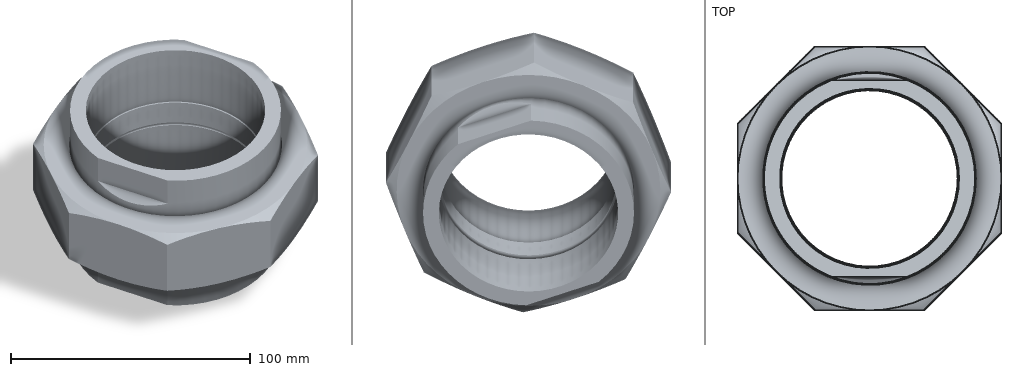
import cadquery as cq
import math

total_height = 70.0
half_height = total_height / 2

nut_flats = 110.0
nut_height = 31.0
nut_clearance_radius = 44.4
nut_sides = 8
nut_chamfer_angle = 30.0

end_radius = 44.0
bore_radius = 37.4
shoulder_radius = 36.7
socket_depth = 28.8
upper_end_bottom = -5.0
joint_gap = 2.1
lower_end_top = upper_end_bottom - joint_gap

wrench_width = 81.8
upper_wrench_height = 13.0
lower_wrench_height = 14.5


def make_nut():
    """Chamfered octagon with a bore that is loose above and seated on the lower end below."""
    inscribed_radius = nut_flats / 2
    corner_radius = inscribed_radius / math.cos(math.pi / nut_sides)
    corner_drop = (corner_radius - inscribed_radius) * math.tan(math.radians(nut_chamfer_angle))
    half_nut = nut_height / 2
    octagon = (
        cq.Workplane("XY", origin=(0, 0, -half_nut))
        .polygon(nut_sides, 2 * corner_radius)
        .extrude(nut_height)
        .rotate((0, 0, 0), (0, 0, 1), 180 / nut_sides)
    )
    envelope = (
        cq.Workplane("XZ")
        .moveTo(end_radius, -half_nut)
        .lineTo(inscribed_radius, -half_nut)
        .lineTo(corner_radius, corner_drop - half_nut)
        .lineTo(corner_radius, half_nut - corner_drop)
        .lineTo(inscribed_radius, half_nut)
        .lineTo(nut_clearance_radius, half_nut)
        .lineTo(nut_clearance_radius, lower_end_top)
        .lineTo(end_radius, lower_end_top)
        .close()
        .revolve(360, (0, 0, 0), (0, 1, 0))
    )
    return octagon.intersect(envelope)


def make_tube(length):
    """Tube with its outer end at half_height, reaching down by length."""
    return cq.Workplane("XY", origin=(0, 0, half_height)).circle(end_radius).extrude(-length)


def cut_wrench_flats(tube, wrench_height):
    """Cut a flat with a 45 degree run-out into the -Y and +Y sides of a tube."""
    flat_y = wrench_width / 2
    flat_bottom = half_height - wrench_height
    runout = end_radius - flat_y
    cutter = (
        cq.Workplane("YZ")
        .moveTo(flat_y, half_height)
        .lineTo(flat_y, flat_bottom)
        .lineTo(end_radius, flat_bottom - runout)
        .lineTo(end_radius, half_height)
        .close()
        .extrude(end_radius, both=True)
    )
    return tube.cut(cutter).cut(cutter.mirror("XZ"))


def make_upper_end():
    """Pipe end with a socket that stops at a narrower shoulder."""
    length = half_height - upper_end_bottom
    tube = cut_wrench_flats(make_tube(length), upper_wrench_height)
    return (
        tube.faces(">Z").workplane(origin=(0, 0, half_height))
        .circle(shoulder_radius).cutThruAll()
        .faces(">Z").workplane(origin=(0, 0, half_height))
        .circle(bore_radius).cutBlind(-socket_depth)
    )


def make_lower_end():
    """Pipe end with a plain bore, shaped upright and then turned upside down."""
    length = half_height + lower_end_top
    tube = cut_wrench_flats(make_tube(length), lower_wrench_height)
    bored = tube.faces(">Z").workplane(origin=(0, 0, half_height)).circle(bore_radius).cutThruAll()
    return bored.rotate((0, 0, 0), (1, 0, 0), 180)


nut = make_nut()
upper_end = make_upper_end()
lower_end = make_lower_end()

result = cq.Compound.makeCompound([nut.val(), upper_end.val(), lower_end.val()])